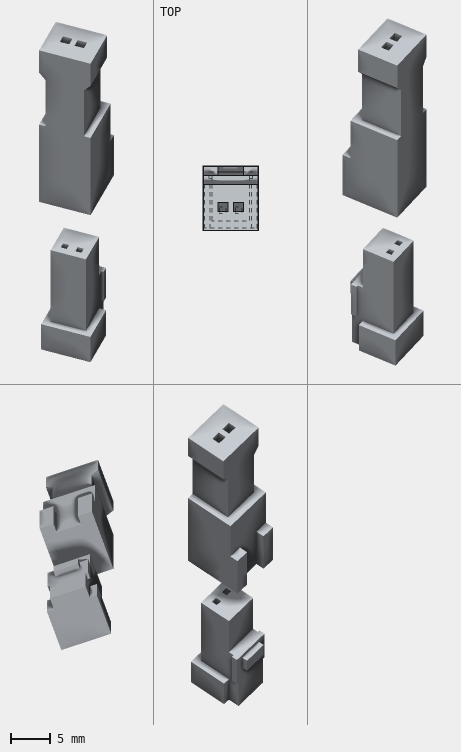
import cadquery as cq

OVERALL_HEIGHT = 51.2

HOUSING_WIDTH = 7.0
HOUSING_HEIGHT = 25.8
NECK_WIDTH = 5.2
HEAD_SIDE_HEIGHT = 3.8
FLARE_HEIGHT = 1.0
SHOULDER_DROP = 12.65
NECK_DEPTH = 5.85
SHOULDER_DEPTH = 7.0
FOOT_DEPTH = 8.2
FOOT_HEIGHT = 6.8
LATCH_SLOT_WIDTH = 3.3

CONTACT_PITCH = 2.0
HOUSING_HOLE_WIDTH = 1.3
HOUSING_HOLE_LENGTH = 1.15
HOUSING_HOLE_CENTRE_Y = 3.0
PLUG_HOLE_SIZE = 0.8
PLUG_HOLE_FROM_FRONT = 1.4
HOLE_DEPTH = 3.05

PLUG_HEIGHT = 16.5
STEM_WIDTH = 4.8
STEM_DEPTH = 4.6
BASE_WIDTH = 6.7
BASE_OVERHANG = 0.85
BASE_HEIGHT = 4.3
SPINE_DEPTH = 1.6
SPINE_HEIGHT = 10.0
RAIL_SPAN = 5.5
RAIL_DEPTH = 0.8
RAIL_LENGTH = 5.0
LATCH_DEPTH = 0.75
LATCH_HEIGHT = 2.05
LATCH_DROP = 0.6

HOUSING_BOTTOM = OVERALL_HEIGHT - HOUSING_HEIGHT
FOOT_TOP = HOUSING_BOTTOM + FOOT_HEIGHT
SHOULDER_Z = OVERALL_HEIGHT - SHOULDER_DROP
SPINE_BACK = FOOT_DEPTH - LATCH_DEPTH
STEM_BACK = SPINE_BACK - SPINE_DEPTH
STEM_FRONT = STEM_BACK - STEM_DEPTH
BASE_FRONT = STEM_FRONT - BASE_OVERHANG
RAIL_BOTTOM = SPINE_HEIGHT - RAIL_LENGTH
LATCH_BOTTOM = SPINE_HEIGHT - LATCH_DROP - LATCH_HEIGHT


def block(width, front, back, bottom, top):
    """Box centred on X = 0 between the given Y and Z limits."""
    return cq.Workplane("XY").box(
        width, back - front, top - bottom, centered=(True, False, False)
    ).translate((0, front, bottom))


def contact_holes(width, length, centre_y, top):
    """Pair of blind rectangular holes sunk from the given height."""
    return (
        cq.Workplane("XY", origin=(0, centre_y, top))
        .rarray(CONTACT_PITCH, 0.5, 2, 1)
        .rect(width, length)
        .extrude(-HOLE_DEPTH)
    )


def housing_front_part():
    """Front outline with neck and flared head, as deep as the neck."""
    half_width = HOUSING_WIDTH / 2
    half_neck = NECK_WIDTH / 2
    head_z = OVERALL_HEIGHT - HEAD_SIDE_HEIGHT
    flare_z = head_z - FLARE_HEIGHT
    right_side = [
        (half_width, HOUSING_BOTTOM),
        (half_width, SHOULDER_Z),
        (half_neck, SHOULDER_Z),
        (half_neck, flare_z),
        (half_width, head_z),
        (half_width, OVERALL_HEIGHT),
    ]
    left_side = [(-x, z) for x, z in reversed(right_side)]
    return cq.Workplane("XZ").polyline(right_side + left_side).close().extrude(-NECK_DEPTH)


def make_housing():
    body = housing_front_part()
    body = body.union(block(HOUSING_WIDTH, 0, SHOULDER_DEPTH, HOUSING_BOTTOM, SHOULDER_Z))
    body = body.union(block(HOUSING_WIDTH, 0, FOOT_DEPTH, HOUSING_BOTTOM, FOOT_TOP))
    body = body.cut(block(LATCH_SLOT_WIDTH, SHOULDER_DEPTH, FOOT_DEPTH, HOUSING_BOTTOM, FOOT_TOP))
    return body.cut(
        contact_holes(HOUSING_HOLE_WIDTH, HOUSING_HOLE_LENGTH, HOUSING_HOLE_CENTRE_Y, OVERALL_HEIGHT)
    )


def make_plug():
    stem = block(STEM_WIDTH, STEM_FRONT, STEM_BACK, 0, PLUG_HEIGHT)
    base = block(BASE_WIDTH, BASE_FRONT, STEM_BACK, 0, BASE_HEIGHT)
    spine = block(STEM_WIDTH, STEM_BACK, SPINE_BACK, 0, SPINE_HEIGHT)
    rails = block(RAIL_SPAN, SPINE_BACK - RAIL_DEPTH, SPINE_BACK, RAIL_BOTTOM, SPINE_HEIGHT)
    latch = block(LATCH_SLOT_WIDTH, SPINE_BACK, FOOT_DEPTH, LATCH_BOTTOM, LATCH_BOTTOM + LATCH_HEIGHT)
    body = stem.union(base).union(spine).union(rails).union(latch)
    hole_y = STEM_FRONT + PLUG_HOLE_FROM_FRONT
    return body.cut(contact_holes(PLUG_HOLE_SIZE, PLUG_HOLE_SIZE, hole_y, PLUG_HEIGHT))


housing = make_housing()
plug = make_plug()

result = cq.Compound.makeCompound([housing.val(), plug.val()])